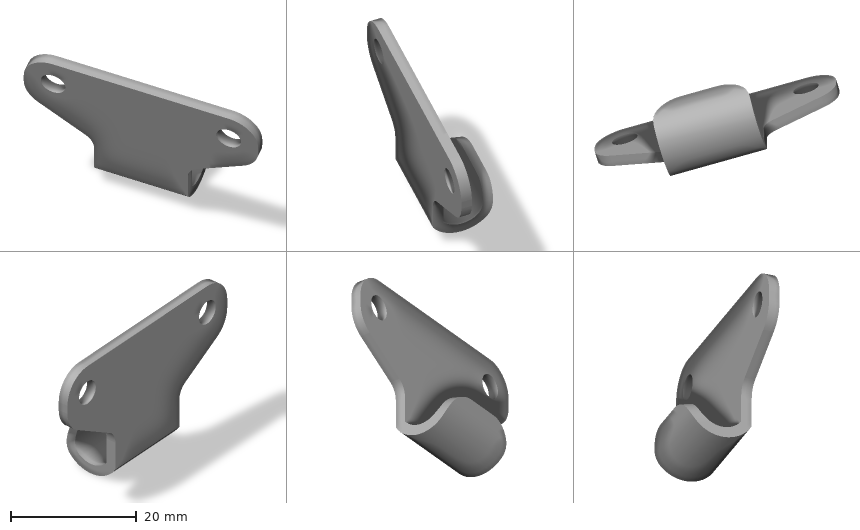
import cadquery as cq
import math

plate_width = 40.0
total_height = 26.0
thickness = 1.8
corner_radius = 5.0
side_height = 9.4
wing_slope = math.radians(30)
tab_width = 16.0
neck_radius = 3.0
hole_diameter = 4.2
hole_inset = 5.0

hook_inner_radius = 4.0
hook_center_y = 5.0
hook_lean = math.radians(15)
hook_tip_length = 2.3

half_width = plate_width / 2
half_tab = tab_width / 2
hook_outer_radius = hook_inner_radius + thickness
hook_center_z = hook_outer_radius - total_height
neck_z = -side_height - (half_width - half_tab) * math.tan(wing_slope)

along = (math.sin(hook_lean), math.cos(hook_lean))
outward = (math.cos(hook_lean), -math.sin(hook_lean))


def bend_z(y, radius):
    """Height of the lower half of a bend circle at depth y."""
    return hook_center_z - math.sqrt(radius**2 - (y - hook_center_y) ** 2)


def bend_end(radius):
    """Point (Y, Z) where a bend arc meets the straight tip."""
    return (hook_center_y + radius * outward[0], hook_center_z + radius * outward[1])


def tip_end(radius):
    """Point (Y, Z) at the free end of the straight tip."""
    y, z = bend_end(radius)
    return (y + hook_tip_length * along[0], z + hook_tip_length * along[1])


def make_plate():
    """Winged plate, overlong at the bottom, with its corners rounded and holes cut."""
    outline = [
        (-half_width, 0),
        (half_width, 0),
        (half_width, -side_height),
        (half_tab, neck_z),
        (half_tab, -total_height),
        (-half_tab, -total_height),
        (-half_tab, neck_z),
        (-half_width, -side_height),
    ]
    plate = cq.Workplane("XZ").polyline(outline).close().extrude(-thickness)
    wing_corners = cq.selectors.BoxSelector(
        (-plate_width, -thickness, neck_z / 2 - side_height / 2),
        (plate_width, 2 * thickness, thickness),
    )
    plate = plate.edges("|Y").edges(wing_corners).fillet(corner_radius)
    neck_corners = cq.selectors.BoxSelector(
        (-plate_width, -thickness, neck_z - thickness),
        (plate_width, 2 * thickness, neck_z + thickness),
    )
    plate = plate.edges("|Y").edges(neck_corners).fillet(neck_radius)
    hole_x = half_width - hole_inset
    holes = (
        cq.Workplane("XZ")
        .pushPoints([(-hole_x, -hole_inset), (hole_x, -hole_inset)])
        .circle(hole_diameter / 2)
        .extrude(-thickness)
    )
    return plate.cut(holes)


def make_hook_bend():
    """Curved strip from the plate's lower end to the leaning tip."""
    bottom_y = hook_center_y
    return (
        cq.Workplane("YZ")
        .moveTo(0, bend_z(0, hook_outer_radius))
        .threePointArc((bottom_y, -total_height), bend_end(hook_outer_radius))
        .lineTo(*tip_end(hook_outer_radius))
        .lineTo(*tip_end(hook_inner_radius))
        .lineTo(*bend_end(hook_inner_radius))
        .threePointArc(
            (bottom_y, hook_center_z - hook_inner_radius),
            (thickness, bend_z(thickness, hook_inner_radius)),
        )
        .close()
        .extrude(half_tab, both=True)
    )


def trim_plate_bottom(plate):
    """Cut the plate's lower end along the line where the bend starts."""
    front_z = bend_z(0, hook_outer_radius)
    back_z = bend_z(thickness, hook_inner_radius)
    waste = (
        cq.Workplane("YZ")
        .polyline([(0, front_z), (thickness, back_z), (thickness, -total_height), (0, -total_height)])
        .close()
        .extrude(half_tab, both=True)
    )
    return plate.cut(waste)


def make_tip_corner(side):
    """Waste outside one rounded tip corner, swept through the hook's thickness."""
    tip_y, tip_z = tip_end(hook_outer_radius)
    tip_plane = cq.Plane(
        origin=(0, tip_y, tip_z), xDir=(-1, 0, 0), normal=(0, outward[0], outward[1])
    )
    diagonal = corner_radius * math.sqrt(0.5)
    arc_x = half_tab - corner_radius
    return (
        cq.Workplane(tip_plane)
        .moveTo(side * arc_x, 0)
        .lineTo(side * half_tab, 0)
        .lineTo(side * half_tab, -corner_radius)
        .threePointArc(
            (side * (arc_x + diagonal), diagonal - corner_radius), (side * arc_x, 0)
        )
        .close()
        .extrude(-hook_outer_radius)
    )


result = trim_plate_bottom(make_plate()).union(make_hook_bend())
for side in (-1, 1):
    result = result.cut(make_tip_corner(side))
result = result.clean()